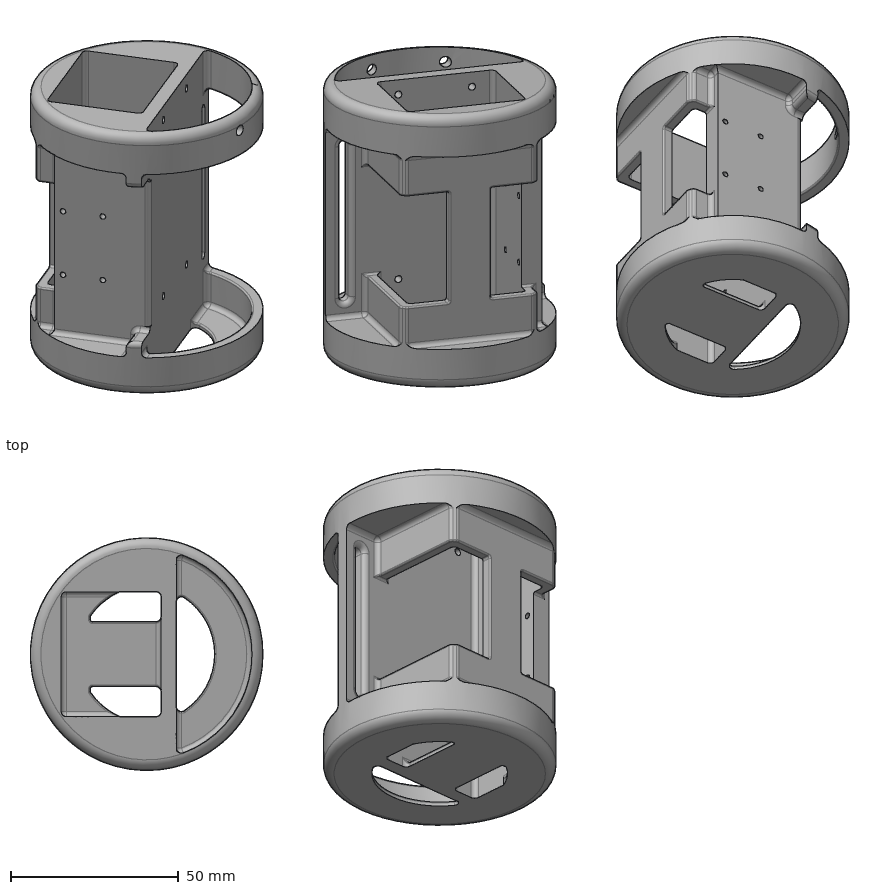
import cadquery as cq
height = 85.7
outer_diameter = 69.35
flange_height = 12.7
rim_round = 3.2
fillet = 1.55
edge_round = 0.5
wall = 3.0

front_x = -28.5
pocket_front_x = front_x + wall
plate_front_x = 4.3
plate_thickness = 4.55
pocket_half_width = 18.6
band_half_width = pocket_half_width + wall
block_front_x = -21.0
block_side_y = -25.0
tab_half_gap = 25.5

column_half_width = 6.5
window_half_height = 17.4
window_corner = 0.7

floor_thickness = 1.55
bay_radius = 31.4
floor_hole_radius = 20.2
floor_hole_front_x = -16.8
floor_rib_half_width = 9.7
floor_hole_corner = 0.7

slot_y = 28.3
slot_width = 3.0
slot_length = 50.6
slot_round = 1.7

plate_hole_diameter = 2.15
access_hole_diameter = 3.3
plate_hole_y = 11.6
plate_hole_heights = (38.2, -19.7)
block_hole_diameter = 1.7
block_hole_xs = (-18.35, -5.9)
block_hole_z = 10.5

outer_radius = outer_diameter / 2
top_z = height / 2
gap_half_height = top_z - flange_height
floor_z = floor_thickness - top_z
plate_back_x = plate_front_x + plate_thickness
reach = outer_diameter


def block(x_range, y_range, z_range):
    """Box spanning the given (low, high) range on each axis."""
    lows, highs = zip(x_range, y_range, z_range)
    sizes = [high - low for low, high in zip(lows, highs)]
    return cq.Workplane("XY").box(*sizes, centered=False).translate(lows)


def middle(half_height):
    return (-half_height, half_height)


def edges_nearest(shape, points):
    """Select, for each point, the edge of the shape whose centre is closest to it."""
    picked = shape.newObject([])
    for point in points:
        picked = picked.add(shape.edges(cq.selectors.NearestToPointSelector(point)))
    return picked


def arcs_at(shape, radius, z):
    """Select the circular edges of one radius lying at one height."""
    tolerance = 0.01
    level_arcs = shape.edges("%CIRCLE").filter(lambda edge: abs(edge.Center().z - z) < tolerance)
    return level_arcs.filter(lambda edge: abs(edge.radius() - radius) < tolerance)


def drum():
    body = cq.Workplane("XY").circle(outer_radius).extrude(height)
    return body.translate((0, 0, -top_z)).faces("<Z or >Z").edges().fillet(rim_round)


def waist_gap():
    """Everything between the flanges around the pocket walls, side block and plate."""
    heights = middle(gap_half_height)
    column = cq.Workplane("XY").circle(outer_radius).extrude(2 * gap_half_height)
    column = column.translate((0, 0, -gap_half_height))
    pocket_walls = column.intersect(block((front_x, plate_back_x), middle(band_half_width), heights))
    pocket_walls = pocket_walls.edges("|Z").edges("<X or (not(<X or >X))").fillet(fillet)
    plate = block((plate_front_x, plate_back_x), middle(reach), heights)
    side_block = block((block_front_x, plate_back_x), (block_side_y, 0), heights)
    kept = pocket_walls.union(plate).union(side_block)
    gap = block(middle(reach), middle(reach), heights).cut(kept)
    root_corners = [
        (block_front_x, -band_half_width),
        (plate_front_x, band_half_width),
        (plate_front_x, block_side_y),
    ]
    inside = reach - 0.9
    inner_edges = cq.selectors.BoxSelector((-inside, -inside, -reach), (inside, inside, reach))
    roots = gap.faces("<Z or >Z").edges(inner_edges)
    for x, y in root_corners:
        roots = roots.add(gap.edges("|Z").edges(cq.selectors.NearestToPointSelector((x, y, 0))))
    return roots.fillet(fillet)


def right_gap():
    """Space outside the side block, leaving a tab of the plate at each flange."""
    half_outline = [
        (block_front_x - fillet, 0),
        (block_front_x - fillet, gap_half_height),
        (plate_front_x, gap_half_height),
        (plate_front_x, tab_half_gap),
        (reach, tab_half_gap),
        (reach, 0),
    ]
    lower_outline = [(x, -z) for x, z in reversed(half_outline[1:-1])]
    gap = (
        cq.Workplane("XZ", origin=(0, block_side_y, 0))
        .polyline(half_outline + lower_outline)
        .close()
        .extrude(reach)
    )
    tab_edges = cq.selectors.BoxSelector(
        (plate_front_x - fillet, -2 * reach, -top_z), (plate_back_x, reach, top_z)
    )
    gap = gap.edges("|Y").edges(tab_edges).fillet(fillet)
    return gap.faces(">Y").edges("not(<X or >X)").fillet(fillet)


def tab_end_rounds():
    """Material to cut where each tab's inner face meets the drum surface."""
    corner_z = tab_half_gap + fillet
    ring = (
        cq.Workplane("XZ")
        .moveTo(outer_radius - fillet, tab_half_gap)
        .radiusArc((outer_radius, corner_z), -fillet)
        .lineTo(outer_radius + fillet, corner_z)
        .lineTo(outer_radius + fillet, tab_half_gap)
        .close()
        .revolve(360, (0, 0, 0), (0, 1, 0))
    )
    upper = ring.intersect(block((plate_front_x, plate_back_x), (-reach, 0), (0, top_z)))
    return upper.union(upper.mirror("XY"))


def block_edge_round():
    """Material to cut along the back outer edge of the side block, between the tab roots."""
    half_length = tab_half_gap - fillet
    return (
        cq.Workplane("XY", origin=(0, 0, -half_length))
        .moveTo(plate_back_x - fillet, block_side_y)
        .radiusArc((plate_back_x, block_side_y + fillet), -fillet)
        .lineTo(plate_back_x, block_side_y)
        .close()
        .extrude(2 * half_length)
    )


def paired_holes(start_x, z, diameter, length):
    """Two holes along X, placed symmetrically about the middle of the plate."""
    return (
        cq.Workplane("YZ", origin=(start_x, 0, z))
        .pushPoints([(-plate_hole_y, 0), (plate_hole_y, 0)])
        .circle(diameter / 2)
        .extrude(length)
    )


result = drum()
for gap in (waist_gap(), right_gap()):
    result = result.cut(gap)
result = result.cut(tab_end_rounds()).cut(block_edge_round())

pocket = block(
    (pocket_front_x, plate_front_x),
    (-pocket_half_width, pocket_half_width),
    (floor_z, top_z),
)
result = result.cut(pocket.edges("|Z or <Z").fillet(fillet))

bay = cq.Workplane("XY").circle(bay_radius).extrude(top_z - floor_z).translate((0, 0, floor_z))
bay = bay.intersect(block((plate_back_x, reach), (-reach, reach), (floor_z, top_z)))
result = result.cut(bay.edges("|Z or <Z").fillet(fillet))

left_window = block((-reach, plate_front_x), (column_half_width, reach), middle(window_half_height))
left_window = left_window.edges("(>X and |Y) or (<Y and |X)").fillet(window_corner)
right_window = block((-reach, block_front_x), (-reach, -column_half_width), middle(window_half_height))
right_window = right_window.edges("(>X and |Y) or (>Y and |X)").fillet(window_corner)
result = result.cut(left_window).cut(right_window)
window_edges = [(front_x, -column_half_width, 0), (front_x, column_half_width, 0)]
result = edges_nearest(result, window_edges).fillet(edge_round)

floor_span = (-top_z, floor_z + fillet)
disc = cq.Workplane("XY").circle(floor_hole_radius).extrude(floor_thickness + fillet).translate((0, 0, -top_z))
bay_hole = disc.intersect(block((plate_back_x, reach), middle(reach), floor_span))
result = result.cut(bay_hole.edges("|Z and <X").fillet(fillet))
pocket_hole = disc.intersect(
    block(
        (floor_hole_front_x, plate_front_x),
        (floor_rib_half_width, pocket_half_width),
        floor_span,
    )
)
pocket_hole = pocket_hole.edges("|Z and >X").fillet(fillet).edges("|Z and <X").fillet(floor_hole_corner)
result = result.cut(pocket_hole).cut(pocket_hole.mirror("XZ"))

result = arcs_at(result, floor_hole_radius, floor_z).fillet(edge_round)
for z in middle(gap_half_height):
    result = arcs_at(result, bay_radius, z).fillet(edge_round)

slot = (
    cq.Workplane("YZ", origin=(plate_front_x, slot_y, 0))
    .slot2D(slot_length, slot_width, 90)
    .extrude(plate_thickness)
)
result = result.cut(slot)
slot_rim = cq.selectors.NearestToPointSelector((plate_front_x, slot_y - slot_width / 2, 0))
result = result.edges(slot_rim).fillet(slot_round)

for z in plate_hole_heights:
    result = result.cut(paired_holes(plate_front_x, z, plate_hole_diameter, plate_thickness))
result = result.cut(paired_holes(plate_back_x, max(plate_hole_heights), access_hole_diameter, reach))

block_holes = (
    cq.Workplane("XZ", origin=(0, -pocket_half_width, 0))
    .pushPoints([(x, z) for x in block_hole_xs for z in middle(block_hole_z)])
    .circle(block_hole_diameter / 2)
    .extrude(-pocket_half_width - block_side_y)
)
result = result.cut(block_holes)